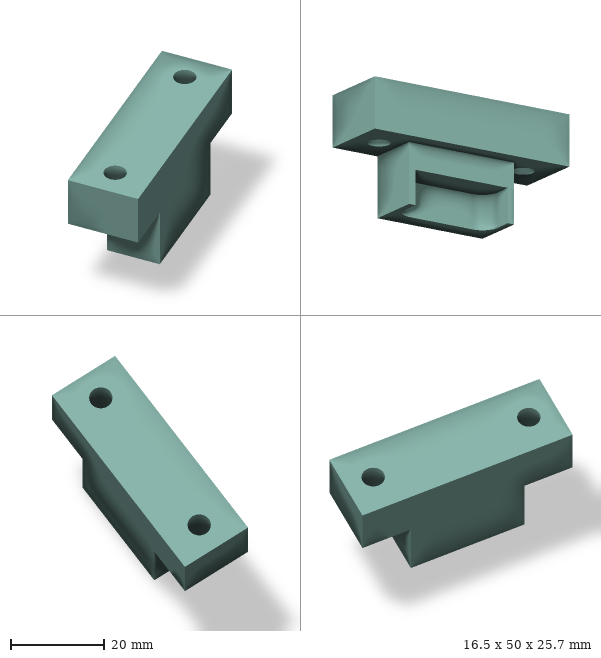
import cadquery as cq

block_width = 16.5
block_length = 50.0
total_height = 25.66
block_height = 11.76

body_width = 12.4
body_length = 27.0
body_height = total_height - block_height

pocket_depth = 7.9
pocket_length = 23.7
pocket_height = 7.95
pocket_corner_radius = 3.75

hole_diameter = 5.0
hole_spacing = 37.0

body_front_x = block_width / 2 - body_width


def make_block():
    """Rectangular block with its underside on Z = 0, centred in X and Y."""
    return cq.Workplane("XY").box(block_width, block_length, block_height, centered=(True, True, False))


def make_body():
    """Narrower body hanging below the block."""
    return (
        cq.Workplane("XY", origin=(body_front_x, 0, -body_height))
        .box(body_width, body_length, body_height, centered=(False, True, False))
    )


def make_pocket():
    """Pocket volume with its two inner vertical corners rounded."""
    return (
        cq.Workplane("XY", origin=(body_front_x, 0, -body_height))
        .box(pocket_depth, pocket_length, pocket_height, centered=(False, True, False))
        .edges("|Z and >X")
        .fillet(pocket_corner_radius)
    )


def make_holes():
    """Two round holes along Z, spaced along Y on the centre line of the block."""
    return (
        cq.Workplane("XY")
        .pushPoints([(0, -hole_spacing / 2), (0, hole_spacing / 2)])
        .circle(hole_diameter / 2)
        .extrude(block_height)
    )


result = make_block().union(make_body()).cut(make_pocket()).cut(make_holes())